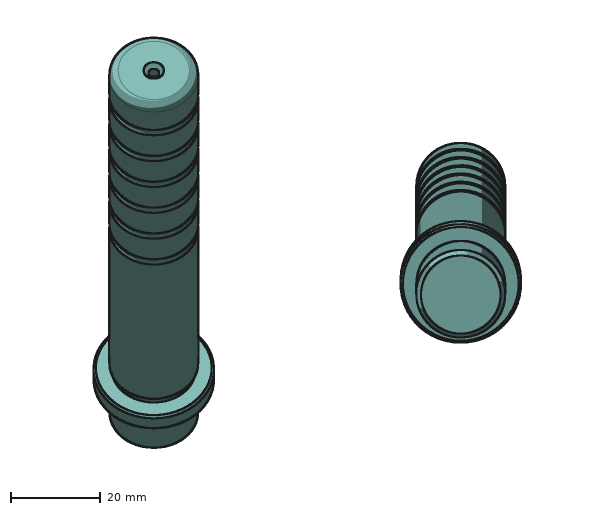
import cadquery as cq
import math

TOTAL_LENGTH = 133.0
FLANGE_BOTTOM = 13.0
FLANGE_THICKNESS = 4.9
FLANGE_TOP = FLANGE_BOTTOM + FLANGE_THICKNESS

SHAFT_DIAMETER = 20.0
FLANGE_DIAMETER = 27.0

TOP_FILLET = 2.0
BOTTOM_CHAMFER = 1.0
FLANGE_CHAMFER = 0.5

NECK_HEIGHT = 2.0
RELIEF_HEIGHT = 0.8
NECK_DEPTH = 0.47
RELIEF_DEPTH = 0.3

GROOVE_COUNT = 6
FIRST_GROOVE_DROP = 9.0
LAST_GROOVE_DROP = 59.0
GROOVE_PITCH = (LAST_GROOVE_DROP - FIRST_GROOVE_DROP) / (GROOVE_COUNT - 1)
GROOVE_DEPTH = 0.4
GROOVE_UPPER_HEIGHT = 0.8
GROOVE_LOWER_HEIGHT = 1.2

CENTRE_HOLE_DIAMETER = 2.4
CENTRE_HOLE_DEPTH = 4.0
DRILL_POINT_ANGLE = 118.0
COUNTERSINK_DIAMETER = 4.5
COUNTERSINK_ANGLE = 90.0

SHAFT_RADIUS = SHAFT_DIAMETER / 2
FLANGE_RADIUS = FLANGE_DIAMETER / 2


def revolve_about_z(outline):
    """Turn a closed radius/height outline into a solid around the Z axis."""
    return outline.close().revolve(360, (0, 0, 0), (0, 1, 0))


def shaft_body():
    """Flanged shaft with its neck, relief and edge treatments."""
    neck_radius = SHAFT_RADIUS - NECK_DEPTH
    neck_top = FLANGE_TOP + NECK_HEIGHT
    relief_radius = SHAFT_RADIUS - RELIEF_DEPTH
    relief_bottom = FLANGE_BOTTOM - RELIEF_HEIGHT
    fillet_inset = TOP_FILLET * (1 - math.sqrt(0.5))

    outline = (
        cq.Workplane("XZ")
        .moveTo(0, 0)
        .lineTo(SHAFT_RADIUS - BOTTOM_CHAMFER, 0)
        .lineTo(SHAFT_RADIUS, BOTTOM_CHAMFER)
        .lineTo(SHAFT_RADIUS, relief_bottom)
        .lineTo(relief_radius, relief_bottom + RELIEF_DEPTH)
        .lineTo(relief_radius, FLANGE_BOTTOM)
        .lineTo(FLANGE_RADIUS - FLANGE_CHAMFER, FLANGE_BOTTOM)
        .lineTo(FLANGE_RADIUS, FLANGE_BOTTOM + FLANGE_CHAMFER)
        .lineTo(FLANGE_RADIUS, FLANGE_TOP - FLANGE_CHAMFER)
        .lineTo(FLANGE_RADIUS - FLANGE_CHAMFER, FLANGE_TOP)
        .lineTo(neck_radius, FLANGE_TOP)
        .lineTo(neck_radius, neck_top - NECK_DEPTH)
        .lineTo(SHAFT_RADIUS, neck_top)
        .lineTo(SHAFT_RADIUS, TOTAL_LENGTH - TOP_FILLET)
        .threePointArc(
            (SHAFT_RADIUS - fillet_inset, TOTAL_LENGTH - fillet_inset),
            (SHAFT_RADIUS - TOP_FILLET, TOTAL_LENGTH),
        )
        .lineTo(0, TOTAL_LENGTH)
    )
    return revolve_about_z(outline)


def arc_radius(height):
    """Radius of an arc that rises from the groove floor to the shaft surface over this height."""
    return (height**2 + GROOVE_DEPTH**2) / (2 * GROOVE_DEPTH)


def oil_groove(upper_edge):
    """Ring cutter for one oil groove whose upper edge is at the given height."""
    floor_radius = SHAFT_RADIUS - GROOVE_DEPTH
    floor_height = upper_edge - GROOVE_UPPER_HEIGHT
    lower_edge = floor_height - GROOVE_LOWER_HEIGHT

    def arc_middle(height, direction):
        radius = arc_radius(height)
        half_angle = math.asin(height / radius) / 2
        return (
            floor_radius + radius * (1 - math.cos(half_angle)),
            floor_height + direction * radius * math.sin(half_angle),
        )

    outline = (
        cq.Workplane("XZ")
        .moveTo(SHAFT_RADIUS, upper_edge)
        .threePointArc(arc_middle(GROOVE_UPPER_HEIGHT, 1), (floor_radius, floor_height))
        .threePointArc(arc_middle(GROOVE_LOWER_HEIGHT, -1), (SHAFT_RADIUS, lower_edge))
        .lineTo(FLANGE_RADIUS, lower_edge)
        .lineTo(FLANGE_RADIUS, upper_edge)
    )
    return revolve_about_z(outline)


def cone_height(radius_change, included_angle):
    """Height over which a cone of this included angle changes its radius by this much."""
    return radius_change / math.tan(math.radians(included_angle / 2))


def centre_hole():
    """Cutter for the countersunk, drill-pointed hole in the top end."""
    hole_radius = CENTRE_HOLE_DIAMETER / 2
    mouth_radius = COUNTERSINK_DIAMETER / 2
    countersink_bottom = TOTAL_LENGTH - cone_height(mouth_radius - hole_radius, COUNTERSINK_ANGLE)
    hole_bottom = TOTAL_LENGTH - CENTRE_HOLE_DEPTH
    drill_tip = hole_bottom - cone_height(hole_radius, DRILL_POINT_ANGLE)

    outline = (
        cq.Workplane("XZ")
        .moveTo(0, TOTAL_LENGTH)
        .lineTo(mouth_radius, TOTAL_LENGTH)
        .lineTo(hole_radius, countersink_bottom)
        .lineTo(hole_radius, hole_bottom)
        .lineTo(0, drill_tip)
    )
    return revolve_about_z(outline)


result = shaft_body().cut(centre_hole())

for index in range(GROOVE_COUNT):
    groove_drop = FIRST_GROOVE_DROP + index * GROOVE_PITCH
    result = result.cut(oil_groove(TOTAL_LENGTH - groove_drop))